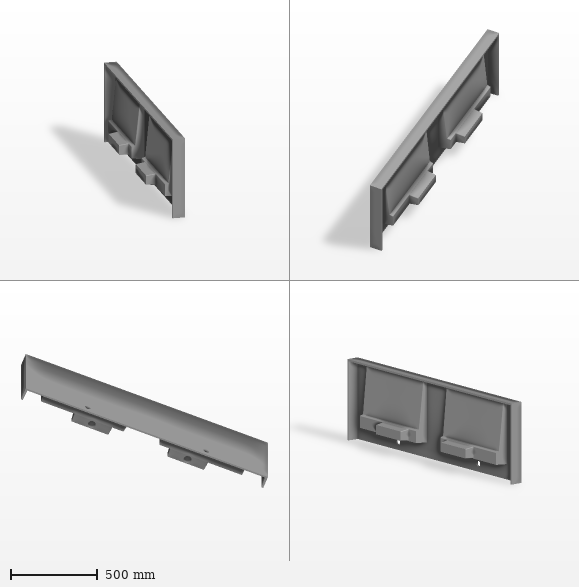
import cadquery as cq

TRAY_WIDTH = 1505.14
TRAY_HEIGHT = 478.65
TRAY_DEPTH = 75.0
PANEL_THICKNESS = 10.0
RIM_THICKNESS = 11.0
WALL_ROOT_THICKNESS = 14.5

OPENING_DIAMETER = 35.0
OPENING_OFFSET = 368.0
OPENING_HEIGHT = 48.0

CONSOLE_INNER = 101.0
CONSOLE_OUTER = 630.0
CONSOLE_BOTTOM = 91.0
CONSOLE_TOP = 450.0
CONSOLE_FRONT = 85.0
INNER_DRAFT = 11.0
OUTER_DRAFT = 6.0
BOTTOM_DRAFT = 5.0
PLATE_TOP_FRONT = 35.0
LEDGE_BACK = 64.0
LEDGE_BACK_HEIGHT = 173.0
LEDGE_FRONT_HEIGHT = 168.0
PLATE_EDGE_RADIUS = 4.0
LEDGE_EDGE_RADIUS = 4.0

BOX_ROOT = 76.0
BOX_FRONT = 140.0
BOX_INNER = 179.0
BOX_OUTER = 416.0
BOX_BOTTOM = 97.0
BOX_TOP = 168.0
BOX_SIDE_DRAFT = 5.0
BOX_TOP_DRAFT = 9.0
BOX_BOTTOM_DRAFT = 7.0
BOX_EDGE_RADIUS = 4.0

SOCKET_DIAMETER = 45.0
SOCKET_TOP = 135.0
SOCKET_CENTER_DEPTH = (CONSOLE_FRONT + BOX_FRONT) / 2


def tapered_block(root, root_depth, front, front_depth):
    """Solid between two upright rectangles, each given as (x_min, z_min, x_max, z_max)."""

    def outline(rectangle, depth):
        x_min, z_min, x_max, z_max = rectangle
        corners = [(x_min, z_min), (x_max, z_min), (x_max, z_max), (x_min, z_max)]
        return cq.Wire.makePolygon([cq.Vector(x, -depth, z) for x, z in corners], close=True)

    outlines = [outline(root, root_depth), outline(front, front_depth)]
    return cq.Workplane(cq.Solid.makeLoft(outlines, True))


def make_tray():
    block = cq.Workplane("XZ").rect(TRAY_WIDTH, TRAY_HEIGHT).extrude(TRAY_DEPTH)
    block = block.translate((0, 0, TRAY_HEIGHT / 2))

    root_half = TRAY_WIDTH / 2 - WALL_ROOT_THICKNESS
    rim_half = TRAY_WIDTH / 2 - RIM_THICKNESS
    cavity = tapered_block(
        (-root_half, 0, root_half, TRAY_HEIGHT - WALL_ROOT_THICKNESS),
        PANEL_THICKNESS,
        (-rim_half, 0, rim_half, TRAY_HEIGHT - RIM_THICKNESS),
        TRAY_DEPTH,
    )
    openings = (
        cq.Workplane("XZ")
        .pushPoints([(side * OPENING_OFFSET, OPENING_HEIGHT) for side in (-1, 1)])
        .circle(OPENING_DIAMETER / 2)
        .extrude(PANEL_THICKNESS)
    )
    return block.cut(cavity).cut(openings)


def make_console_base():
    """Leaning plate and ledge: a side profile trimmed to the drafted sides."""
    profile = (
        cq.Workplane("YZ")
        .polyline([
            (-PANEL_THICKNESS, CONSOLE_BOTTOM),
            (-CONSOLE_FRONT, CONSOLE_BOTTOM),
            (-CONSOLE_FRONT, LEDGE_FRONT_HEIGHT),
            (-LEDGE_BACK, LEDGE_BACK_HEIGHT),
            (-PLATE_TOP_FRONT, CONSOLE_TOP),
            (-PANEL_THICKNESS, CONSOLE_TOP),
        ])
        .close()
        .extrude(CONSOLE_OUTER)
    )
    drafted_sides = tapered_block(
        (CONSOLE_INNER, CONSOLE_BOTTOM, CONSOLE_OUTER, CONSOLE_TOP),
        PANEL_THICKNESS,
        (
            CONSOLE_INNER + INNER_DRAFT,
            CONSOLE_BOTTOM + BOTTOM_DRAFT,
            CONSOLE_OUTER - OUTER_DRAFT,
            CONSOLE_TOP,
        ),
        CONSOLE_FRONT,
    )
    base = profile.intersect(drafted_sides)

    middle_x = (CONSOLE_INNER + CONSOLE_OUTER) / 2
    plate_middle_height = (LEDGE_BACK_HEIGHT + CONSOLE_TOP) / 2
    plate_middle_depth = (PLATE_TOP_FRONT + LEDGE_BACK) / 2
    for x in (CONSOLE_INNER, CONSOLE_OUTER):
        plate_edge = cq.selectors.NearestToPointSelector((x, -plate_middle_depth, plate_middle_height))
        base = base.edges(plate_edge).fillet(PLATE_EDGE_RADIUS)
    ledge_edge = cq.selectors.NearestToPointSelector((middle_x, -CONSOLE_FRONT, LEDGE_FRONT_HEIGHT))
    return base.edges(ledge_edge).fillet(LEDGE_EDGE_RADIUS)


def make_box():
    box = tapered_block(
        (BOX_INNER, BOX_BOTTOM, BOX_OUTER, BOX_TOP),
        BOX_ROOT,
        (
            BOX_INNER + BOX_SIDE_DRAFT,
            BOX_BOTTOM + BOX_BOTTOM_DRAFT,
            BOX_OUTER - BOX_SIDE_DRAFT,
            BOX_TOP - BOX_TOP_DRAFT,
        ),
        BOX_FRONT,
    )
    return box.edges("not(|X or |Z)").fillet(BOX_EDGE_RADIUS)


def make_socket():
    center_x = (BOX_INNER + BOX_OUTER) / 2
    return (
        cq.Workplane("XY", origin=(center_x, -SOCKET_CENTER_DEPTH, BOX_BOTTOM))
        .circle(SOCKET_DIAMETER / 2)
        .extrude(SOCKET_TOP - BOX_BOTTOM)
    )


def make_console():
    """Console on the +X side of the middle plane, one solid with its box."""
    return make_console_base().union(make_box()).cut(make_socket())


tray = make_tray()
right_console = make_console()
consoles = [right_console, right_console.mirror("YZ")]

result = cq.Compound.makeCompound([tray.val(), *[console.val() for console in consoles]])